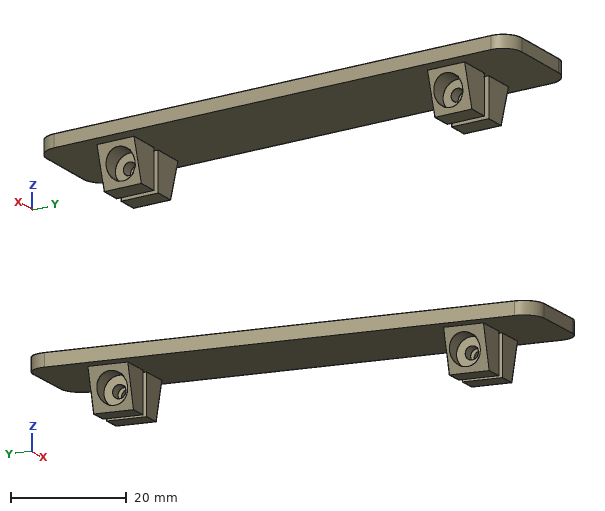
import cadquery as cq

plate_width = 19.5
plate_length = 97.0
plate_thickness = 2.6
corner_radius = 3.9

total_height = 10.6
lug_height = total_height - plate_thickness
lug_top_width = 14.3
lug_bottom_width = 9.5
lug_length = 7.6
lug_offset = 33.8
slot_width = 1.5

hole_offset = 33.5
hole_diameter = 2.5
counterbore_diameter = 5.8
counterbore_floor = 3.0
hole_z = -plate_thickness - lug_height / 2


def make_plate():
    plate = cq.Workplane("XY").box(
        plate_width, plate_length, plate_thickness, centered=(True, True, False)
    )
    plate = plate.edges("|Z").fillet(corner_radius)
    return plate.translate((0, 0, -plate_thickness))


def x_cylinder(diameter, x_start, x_end, y):
    return (
        cq.Workplane("YZ", origin=(x_start, y, hole_z))
        .circle(diameter / 2)
        .extrude(x_end - x_start)
    )


def make_lug(side):
    """Build the lug at the +Y (side = 1) or -Y (side = -1) end."""
    lug = (
        cq.Workplane("XZ")
        .polyline([
            (-lug_top_width / 2, -plate_thickness),
            (lug_top_width / 2, -plate_thickness),
            (lug_bottom_width / 2, -total_height),
            (-lug_bottom_width / 2, -total_height),
        ])
        .close()
        .extrude(lug_length / 2, both=True)
        .translate((0, side * lug_offset, 0))
    )
    slot = (
        cq.Workplane("XY")
        .box(slot_width, lug_length, lug_height, centered=(True, True, False))
        .translate((0, side * lug_offset, -total_height))
    )
    hole_y = side * hole_offset
    outer_x = lug_top_width / 2
    hole = x_cylinder(hole_diameter, -outer_x, outer_x, hole_y)
    left_bore = x_cylinder(counterbore_diameter, -outer_x, -counterbore_floor, hole_y)
    right_bore = x_cylinder(counterbore_diameter, counterbore_floor, outer_x, hole_y)
    return lug.cut(slot).cut(hole).cut(left_bore).cut(right_bore)


result = make_plate()
for end in (-1, 1):
    result = result.union(make_lug(end))